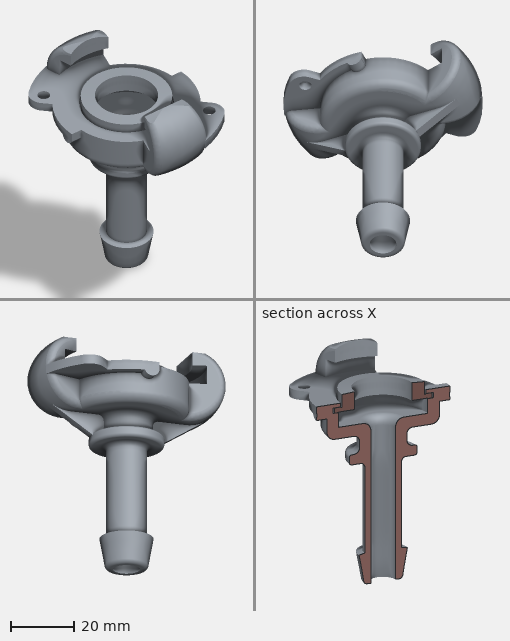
import cadquery as cq
import math

BARB_TOP_Z = 10.15
STEM_BASE_Z = 10.6
FLANGE_BOTTOM_Z = 40.6
FLANGE_TOP_Z = 44.2
TOTAL_HEIGHT = 74.0

TAIL_BORE_RADIUS = 8.5 / 2
STEM_RADIUS = 13.0 / 2
BARB_RADIUS = 8.6
BARB_TIP_RADIUS = 6.7
BARB_TIP_FILLET = 1.4
STEM_FILLET = 1.4

FLANGE_RADIUS = 24.0 / 2
FLANGE_FILLET = 1.0
NECK_RADIUS = 8.35
NECK_FILLET = 2.0

CLAW_OUTER_RADIUS = 63.0 / 2
CLAW_SECTION_RADIUS = 12.0
CLAW_CENTRE_RADIUS = CLAW_OUTER_RADIUS - CLAW_SECTION_RADIUS
CLAW_INNER_RADIUS = 20.95
CLAW_RISE = math.sqrt(CLAW_SECTION_RADIUS**2 - (CLAW_INNER_RADIUS - CLAW_CENTRE_RADIUS) ** 2)
FACE_Z = TOTAL_HEIGHT - CLAW_RISE
BODY_BOTTOM_Z = FACE_Z - CLAW_SECTION_RADIUS
BODY_RADIUS = 19.8
BODY_FILLET = 2.95

CLAW_ROOT_RADIUS = 13.3
CLAW_SIDE_ANGLE = 15.9
CLAW_SIDE_OFFSET = 1.85
CLAW_FILLET = 2.0
SLOT_RADIUS = 25.5
SLOT_HEIGHT = 6.1
CROWN_RADIUS = 20.7
CUT_LENGTH = 44.4

PLATE_THICKNESS = 3.0
TAB_RADIUS = 47.0 / 2
NOTCH_X = 13.5
LUG_FILLET = 4.8
LUG_HOLE_DIAMETER = 4.0
LUG_HOLE_POSITION = 18.7
BLIND_HOLE_DEPTH = 2.9
STOP_RADIUS = 2.5
STOP_BOTTOM_Z = 57.35
TAB_END_X = -STOP_RADIUS
PLATE_START_ANGLE = 15.7

RIB_THICKNESS = 3.0
RIB_FOOT_RADIUS = 5.9
RIB_TOP_Z = 53.3

SEAL_BORE_RADIUS = 20.0 / 2
SEAL_RADIUS = 29.0 / 2
SEAL_FLANGE_RADIUS = 34.5 / 2
SEAL_EDGE_Z = 64.9
SEAL_TOP_Z = 65.2
SEAL_BOTTOM_Z = 59.05
MOUTH_RADIUS = 30.0 / 2
GROOVE_RADIUS = 35.0 / 2
CHAMBER_RADIUS = 15.55
CHAMBER_FLOOR_Z = 54.1
LIP_THICKNESS = 1.5
LIP_BOTTOM_Z = FACE_Z - LIP_THICKNESS
BORE_FLARE = 2.95

ARC_MIDDLE = math.sqrt(0.5)


def polar(radius, angle):
    """Plan point at the given angle in degrees."""
    return (radius * math.cos(math.radians(angle)), radius * math.sin(math.radians(angle)))


def on_both_sides(shape):
    """The shape together with its half-turn copy about the axis."""
    return shape.union(shape.rotate((0, 0, 0), (0, 0, 1), 180))


def revolve_profile(profile):
    """Full turn of an XZ profile about the Z axis."""
    return profile.close().revolve(360, (0, 0, 0), (0, 1, 0))


def quarter_arc(profile, start, end, centre, radius):
    """Quarter arc around a centre, from start to end."""
    step_x = start[0] + end[0] - 2 * centre[0]
    step_z = start[1] + end[1] - 2 * centre[1]
    middle = (
        centre[0] + math.copysign(radius * ARC_MIDDLE, step_x),
        centre[1] + math.copysign(radius * ARC_MIDDLE, step_z),
    )
    return profile.threePointArc(middle, end)


def make_tail_and_neck():
    """Barbed hose tail, collar and neck as one turned shape."""
    profile = (
        cq.Workplane("XZ")
        .lineTo(BARB_TIP_RADIUS, 0)
        .lineTo(BARB_RADIUS, BARB_TOP_Z)
        .lineTo(STEM_RADIUS, STEM_BASE_Z)
    )
    start = (STEM_RADIUS, FLANGE_BOTTOM_Z - STEM_FILLET)
    end = (STEM_RADIUS + STEM_FILLET, FLANGE_BOTTOM_Z)
    profile = quarter_arc(profile.lineTo(*start), start, end, (end[0], start[1]), STEM_FILLET)

    start = (FLANGE_RADIUS - FLANGE_FILLET, FLANGE_BOTTOM_Z)
    end = (FLANGE_RADIUS, FLANGE_BOTTOM_Z + FLANGE_FILLET)
    profile = quarter_arc(profile.lineTo(*start), start, end, (start[0], end[1]), FLANGE_FILLET)

    start = (FLANGE_RADIUS, FLANGE_TOP_Z - FLANGE_FILLET)
    end = (FLANGE_RADIUS - FLANGE_FILLET, FLANGE_TOP_Z)
    profile = quarter_arc(profile.lineTo(*start), start, end, (end[0], start[1]), FLANGE_FILLET)

    start = (NECK_RADIUS + NECK_FILLET, FLANGE_TOP_Z)
    end = (NECK_RADIUS, FLANGE_TOP_Z + NECK_FILLET)
    profile = quarter_arc(profile.lineTo(*start), start, end, (start[0], end[1]), NECK_FILLET)

    start = (NECK_RADIUS, BODY_BOTTOM_Z - NECK_FILLET)
    end = (NECK_RADIUS + NECK_FILLET, BODY_BOTTOM_Z)
    profile = quarter_arc(profile.lineTo(*start), start, end, (end[0], start[1]), NECK_FILLET)

    turned = revolve_profile(profile.lineTo(end[0], CHAMBER_FLOOR_Z).lineTo(0, CHAMBER_FLOOR_Z))
    return turned.faces("<Z").edges().fillet(BARB_TIP_FILLET)


def make_body():
    """Round cup with a rounded lower rim."""
    cup = cq.Workplane("XY", origin=(0, 0, BODY_BOTTOM_Z)).circle(BODY_RADIUS)
    return cup.extrude(FACE_Z - BODY_BOTTOM_Z).faces("<Z").edges().fillet(BODY_FILLET)


def make_plate():
    """Half of the lug plate: a tab with an angled notch and a rounded lug."""
    plate_bottom_z = FACE_Z - PLATE_THICKNESS
    notch_y = math.sqrt(TAB_RADIUS**2 - NOTCH_X**2)
    tab_end_y = math.sqrt(TAB_RADIUS**2 - TAB_END_X**2)
    notch_rise = notch_y - NOTCH_X
    lug_x = (math.sqrt(2 * CLAW_OUTER_RADIUS**2 - notch_rise**2) - notch_rise) / 2
    lug_y = lug_x + notch_rise
    lug_angle = math.degrees(math.atan2(lug_y, lug_x))
    notch_angle = math.degrees(math.atan2(notch_y, NOTCH_X))
    tab_end_angle = math.degrees(math.atan2(tab_end_y, TAB_END_X))
    plate = (
        cq.Workplane("XY", origin=(0, 0, plate_bottom_z))
        .lineTo(*polar(CLAW_OUTER_RADIUS, PLATE_START_ANGLE))
        .threePointArc(polar(CLAW_OUTER_RADIUS, (PLATE_START_ANGLE + lug_angle) / 2), (lug_x, lug_y))
        .lineTo(NOTCH_X, notch_y)
        .threePointArc(polar(TAB_RADIUS, (notch_angle + tab_end_angle) / 2), (TAB_END_X, tab_end_y))
        .lineTo(TAB_END_X, 0)
        .close()
        .extrude(PLATE_THICKNESS)
    )
    lug_corner = cq.selectors.NearestToPointSelector((lug_x, lug_y, FACE_Z - PLATE_THICKNESS / 2))
    return plate.edges(lug_corner).fillet(LUG_FILLET)


def make_stop():
    """Block at the end of the tab, rounded underneath and trimmed to the tab radius."""
    stop_axis_z = STOP_BOTTOM_Z + STOP_RADIUS
    stop_start_y = BODY_RADIUS - BODY_FILLET
    block = (
        cq.Workplane("XZ", origin=(0, stop_start_y, 0))
        .moveTo(-STOP_RADIUS, FACE_Z)
        .lineTo(-STOP_RADIUS, stop_axis_z)
        .threePointArc((0, STOP_BOTTOM_Z), (STOP_RADIUS, stop_axis_z))
        .lineTo(STOP_RADIUS, FACE_Z)
        .close()
        .extrude(stop_start_y - TAB_RADIUS)
    )
    tab_disc = cq.Workplane("XY", origin=(0, 0, STOP_BOTTOM_Z)).circle(TAB_RADIUS)
    return block.intersect(tab_disc.extrude(FACE_Z - STOP_BOTTOM_Z))


def make_claw():
    """Hooked claw with a round back, tapered sides, an undercut slot and a crowned top."""
    claw_top_z = FACE_Z + CLAW_SECTION_RADIUS
    block = revolve_profile(
        cq.Workplane("XZ")
        .moveTo(CLAW_ROOT_RADIUS, BODY_BOTTOM_Z)
        .lineTo(CLAW_CENTRE_RADIUS, BODY_BOTTOM_Z)
        .threePointArc((CLAW_OUTER_RADIUS, FACE_Z), (CLAW_CENTRE_RADIUS, claw_top_z))
        .lineTo(CLAW_ROOT_RADIUS, claw_top_z)
    )
    side_y = CLAW_SIDE_OFFSET + CUT_LENGTH * math.tan(math.radians(CLAW_SIDE_ANGLE))
    wedge = (
        cq.Workplane("XY")
        .polyline([
            (0, -CLAW_SIDE_OFFSET),
            (CUT_LENGTH, -side_y),
            (CUT_LENGTH, side_y),
            (0, CLAW_SIDE_OFFSET),
        ])
        .close()
        .extrude(2 * FACE_Z)
    )
    claw = block.intersect(wedge)
    claw = claw.faces("%TORUS").edges("not %CIRCLE").fillet(CLAW_FILLET)

    throat = (
        cq.Workplane("XY", origin=(0, 0, FACE_Z))
        .circle(CLAW_INNER_RADIUS)
        .extrude(CLAW_SECTION_RADIUS)
    )
    slot = cq.Workplane("XY", origin=(0, 0, FACE_Z)).circle(SLOT_RADIUS).extrude(SLOT_HEIGHT)
    crown = (
        cq.Workplane("YZ", origin=(0, 0, TOTAL_HEIGHT - CROWN_RADIUS))
        .circle(CROWN_RADIUS)
        .extrude(CUT_LENGTH)
    )
    space_above_face = cq.Workplane("XY", origin=(0, 0, FACE_Z)).rect(2 * CUT_LENGTH, 2 * CUT_LENGTH)
    above_crown = space_above_face.extrude(2 * CLAW_SECTION_RADIUS).cut(crown)
    return claw.cut(throat).cut(slot).cut(above_crown)


def make_rib():
    """Gusset from the collar to the back of a claw, tangent to the claw's round back."""
    foot_z = FLANGE_TOP_Z - FLANGE_FILLET
    run = CLAW_CENTRE_RADIUS - FLANGE_RADIUS
    rise = FACE_Z - foot_z
    slope = math.atan2(rise, run) - math.asin(CLAW_SECTION_RADIUS / math.hypot(run, rise))
    tangent_x = CLAW_CENTRE_RADIUS + CLAW_SECTION_RADIUS * math.sin(slope)
    tangent_z = FACE_Z - CLAW_SECTION_RADIUS * math.cos(slope)
    return (
        cq.Workplane("XZ")
        .polyline([
            (RIB_FOOT_RADIUS, foot_z),
            (FLANGE_RADIUS, foot_z),
            (tangent_x, tangent_z),
            (tangent_x, RIB_TOP_Z),
            (RIB_FOOT_RADIUS, RIB_TOP_Z),
        ])
        .close()
        .extrude(RIB_THICKNESS / 2, both=True)
    )


def make_cavity():
    """Bore with a flared mouth, chamber, seal groove and the narrower opening in the face."""
    flare_radius = TAIL_BORE_RADIUS + BORE_FLARE
    profile = cq.Workplane("XZ").lineTo(TAIL_BORE_RADIUS, 0)

    start = (TAIL_BORE_RADIUS, CHAMBER_FLOOR_Z - BORE_FLARE)
    end = (flare_radius, CHAMBER_FLOOR_Z)
    profile = quarter_arc(profile.lineTo(*start), start, end, (end[0], start[1]), BORE_FLARE)

    return revolve_profile(
        profile.lineTo(CHAMBER_RADIUS, CHAMBER_FLOOR_Z)
        .lineTo(CHAMBER_RADIUS, SEAL_BOTTOM_Z)
        .lineTo(GROOVE_RADIUS, SEAL_BOTTOM_Z)
        .lineTo(GROOVE_RADIUS, LIP_BOTTOM_Z)
        .lineTo(MOUTH_RADIUS, LIP_BOTTOM_Z)
        .lineTo(MOUTH_RADIUS, FACE_Z)
        .lineTo(0, FACE_Z)
    )


def make_lug_hole(position, depth):
    """Hole cutter reaching down from the face at equal X and Y."""
    return (
        cq.Workplane("XY", origin=(position, position, FACE_Z - depth))
        .circle(LUG_HOLE_DIAMETER / 2)
        .extrude(depth)
    )


def make_coupling():
    """Hose coupling: tail, neck, head, lug plate, claws and ribs in one piece."""
    coupling = make_tail_and_neck().union(make_body())
    for make_feature in (make_plate, make_stop, make_claw, make_rib):
        coupling = coupling.union(on_both_sides(make_feature()))
    coupling = coupling.cut(make_cavity())
    coupling = coupling.cut(make_lug_hole(LUG_HOLE_POSITION, PLATE_THICKNESS))
    return coupling.cut(make_lug_hole(-LUG_HOLE_POSITION, BLIND_HOLE_DEPTH))


def make_seal():
    """Seal ring with a slightly coned top and a flange held in the groove."""
    return revolve_profile(
        cq.Workplane("XZ")
        .moveTo(SEAL_BORE_RADIUS, SEAL_BOTTOM_Z)
        .lineTo(SEAL_FLANGE_RADIUS, SEAL_BOTTOM_Z)
        .lineTo(SEAL_FLANGE_RADIUS, LIP_BOTTOM_Z)
        .lineTo(SEAL_RADIUS, LIP_BOTTOM_Z)
        .lineTo(SEAL_RADIUS, SEAL_EDGE_Z)
        .lineTo(SEAL_BORE_RADIUS, SEAL_TOP_Z)
    )


coupling = make_coupling()
seal = make_seal()
result = cq.Compound.makeCompound([coupling.val(), seal.val()])